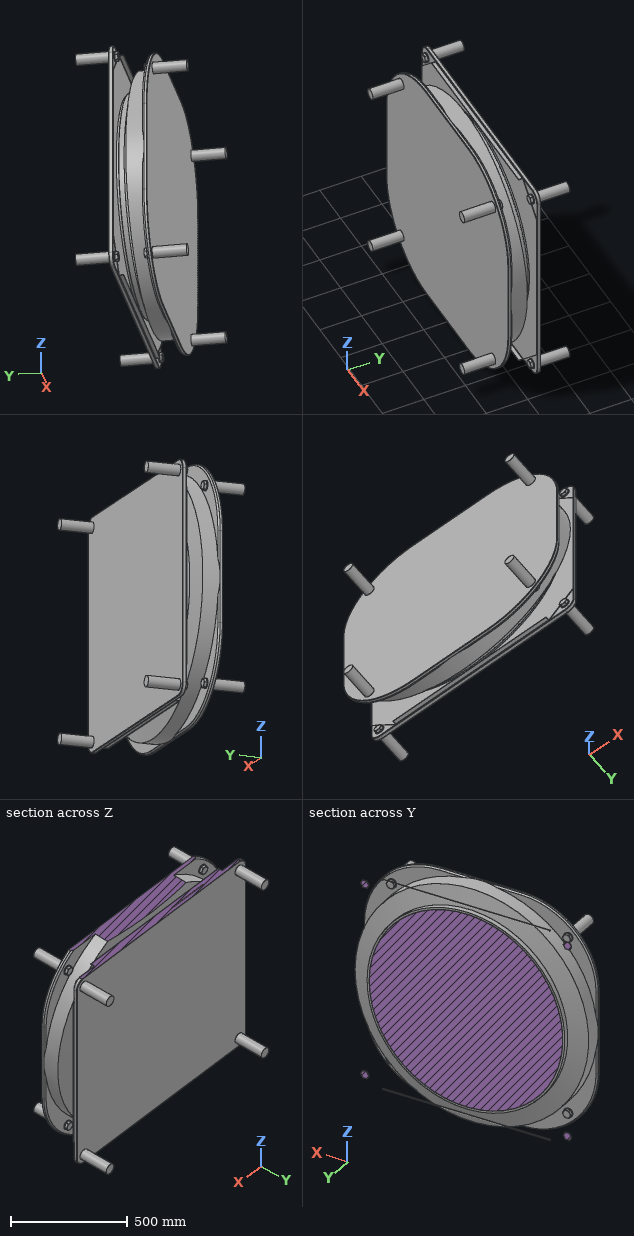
import cadquery as cq

TOTAL_DEPTH = 474.0
STUD_LENGTH = 150.0
REAR_FACE = TOTAL_DEPTH / 2 - STUD_LENGTH
FRONT_FACE = -REAR_FACE

REAR_PLATE_WIDTH = 1106.0
REAR_PLATE_HEIGHT = 1053.0
REAR_PLATE_CORNER_RADIUS = 48.0
REAR_PLATE_THICKNESS = 19.0
REAR_PLATE_BEVEL = 2.0
REAR_PLATE_FRONT = REAR_FACE - REAR_PLATE_THICKNESS

SHEET_THICKNESS = 2.0
SHEET_CORNER_CUT = 135.0
LIP_LENGTH = 21.0

DRUM_DIAMETER = 1170.0
NECK_DIAMETER = 990.0
GROOVE_DIAMETER = 970.0
GROOVE_FRONT = 55.0
CONE_REAR = 30.0
CONE_FRONT = 6.0

COVER_SIZE = DRUM_DIAMETER
COVER_CORNER_RADIUS = 380.0
COVER_THICKNESS = 21.0
COVER_REAR = FRONT_FACE + COVER_THICKNESS
COVER_REAR_BEVEL_DEPTH = 8.0
COVER_REAR_BEVEL_INSET = 6.0
COVER_FRONT_BEVEL = 2.0

STUD_DIAMETER = 50.0
REAR_STUD_SIDE_MARGIN = 46.0
REAR_STUD_X = REAR_PLATE_WIDTH / 2 - REAR_STUD_SIDE_MARGIN
REAR_STUD_Z = REAR_PLATE_HEIGHT / 2 - REAR_PLATE_CORNER_RADIUS
FRONT_STUD_OFFSET = 441.0
WASHER_DIAMETER = 45.0
WASHER_THICKNESS = 4.0
HEAD_ACROSS_CORNERS = 43.0
HEAD_HEIGHT = 16.0
HEAD_CROWN_DIAMETER = 36.0
HEAD_CROWN_HEIGHT = 2.0


def plane_at(y, direction=-1):
    """XZ plane at depth y; direction -1 extrudes toward -Y, +1 toward +Y."""
    return cq.Workplane(cq.Plane(origin=(0, y, 0), xDir=(-direction, 0, 0), normal=(0, direction, 0)))


def make_rear_plate():
    plate = plane_at(REAR_FACE).rect(REAR_PLATE_WIDTH, REAR_PLATE_HEIGHT).extrude(REAR_PLATE_THICKNESS)
    plate = plate.edges("|Y").fillet(REAR_PLATE_CORNER_RADIUS)
    return plate.faces("<Y or >Y").chamfer(REAR_PLATE_BEVEL)


def make_bent_sheet():
    sheet = plane_at(REAR_PLATE_FRONT).rect(REAR_PLATE_WIDTH, REAR_PLATE_HEIGHT).extrude(SHEET_THICKNESS)
    sheet = sheet.edges("|Y").chamfer(SHEET_CORNER_CUT)
    lip_width = REAR_PLATE_WIDTH - 2 * SHEET_CORNER_CUT
    lip_z = (REAR_PLATE_HEIGHT - SHEET_THICKNESS) / 2
    lips = (
        plane_at(REAR_PLATE_FRONT)
        .pushPoints([(0, lip_z), (0, -lip_z)])
        .rect(lip_width, SHEET_THICKNESS)
        .extrude(LIP_LENGTH)
    )
    return sheet.union(lips)


def make_drum():
    drum_radius = DRUM_DIAMETER / 2
    neck_radius = NECK_DIAMETER / 2
    groove_radius = GROOVE_DIAMETER / 2
    half_section = [
        (0, REAR_PLATE_FRONT),
        (groove_radius, REAR_PLATE_FRONT),
        (groove_radius, GROOVE_FRONT),
        (neck_radius, GROOVE_FRONT),
        (neck_radius, CONE_REAR),
        (drum_radius, CONE_FRONT),
        (drum_radius, COVER_REAR - COVER_REAR_BEVEL_DEPTH),
        (0, COVER_REAR - COVER_REAR_BEVEL_DEPTH),
    ]
    return cq.Workplane("XY").polyline(half_section).close().revolve(360, (0, 0, 0), (0, 1, 0))


def make_cover():
    cover = plane_at(COVER_REAR).rect(COVER_SIZE, COVER_SIZE).extrude(COVER_THICKNESS)
    cover = cover.edges("|Y").fillet(COVER_CORNER_RADIUS)
    cover = cover.faces("<Y").chamfer(COVER_FRONT_BEVEL)
    return cover.faces(">Y").chamfer(COVER_REAR_BEVEL_DEPTH, COVER_REAR_BEVEL_INSET)


def make_bolt_head(y, direction):
    """Washer and crowned hex head on the Y axis, rising from y along direction."""
    washer = plane_at(y, direction).circle(WASHER_DIAMETER / 2).extrude(WASHER_THICKNESS)
    hexagon = plane_at(y, direction).polygon(6, HEAD_ACROSS_CORNERS).extrude(HEAD_HEIGHT)
    crown_inset = (HEAD_ACROSS_CORNERS - HEAD_CROWN_DIAMETER) / 2
    crown = (
        plane_at(y, direction)
        .circle(HEAD_ACROSS_CORNERS / 2)
        .extrude(HEAD_HEIGHT)
        .faces(">Y" if direction > 0 else "<Y")
        .chamfer(HEAD_CROWN_HEIGHT, crown_inset)
    )
    return washer.union(hexagon.intersect(crown))


def make_studs(plate_face, head_face, offset_x, offset_z, direction):
    """Four studs that leave plate_face along direction, with bolt heads on head_face."""
    stud = plane_at(plate_face, direction).circle(STUD_DIAMETER / 2).extrude(STUD_LENGTH)
    head = make_bolt_head(head_face, -direction)
    studs = cq.Workplane("XY")
    for x in (-offset_x, offset_x):
        for z in (-offset_z, offset_z):
            studs = studs.add(stud.translate((x, 0, z)))
            studs = studs.add(head.translate((x, 0, z)))
    return studs


rear_studs = make_studs(REAR_FACE, REAR_PLATE_FRONT, REAR_STUD_X, REAR_STUD_Z, 1)
front_studs = make_studs(FRONT_FACE, COVER_REAR, FRONT_STUD_OFFSET, FRONT_STUD_OFFSET, -1)

result = (
    make_rear_plate()
    .union(make_bent_sheet())
    .union(make_drum())
    .union(make_cover())
    .union(rear_studs)
    .union(front_studs)
)